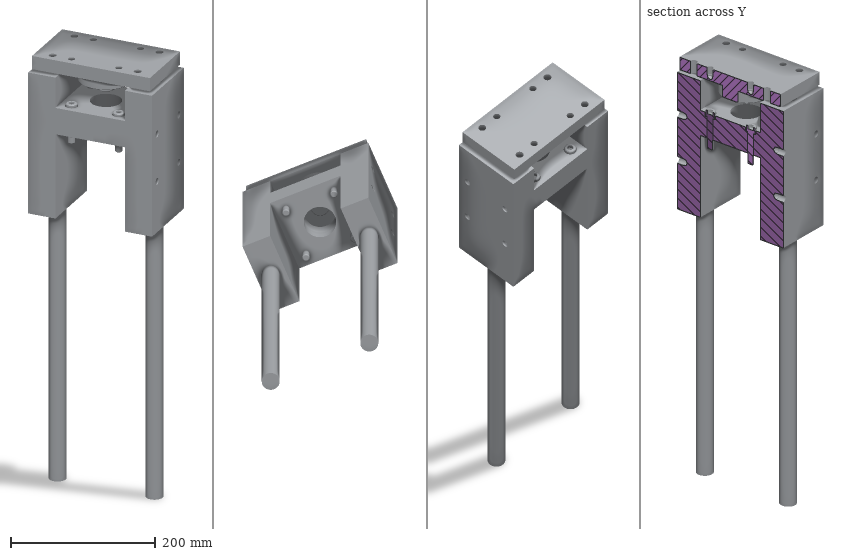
import cadquery as cq
import math


plate_length = 180.0
plate_width = 100.0
plate_thickness = 20.0
hub_diameter = 78.0
hub_height = 18.0
hub_chamfer = 1.0
spigot_top_diameter = 28.0
spigot_tip_diameter = 27.0
spigot_height = 14.0
spigot_chamfer = 1.0
rod_diameter = 25.0
rod_spacing = 148.0
rod_end_z = -658.0
clearance_hole_diameter = 11.0
clearance_hole_spacing = 130.0

housing_length = 189.0
housing_width = 105.0
leg_thickness = 41.5
leg_height = 214.0
housing_gap = 5.0
web_drop = 46.0
web_thickness = 40.0
web_bore_diameter = 45.0
side_hole_drop = 65.0

pattern_pitch = 72.0

thread_diameter = 10.0
thread_depth = 12.0
core_diameter = 8.38
core_depth = 15.0
drill_point_angle = 118.0

screw_diameter = 10.0
screw_length = 50.0
screw_head_diameter = 16.0
screw_head_height = 10.0
screw_chamfer = 1.0
socket_width = 8.0
socket_depth = 5.0
counterbore_diameter = 18.0
counterbore_depth = 6.0

plate_bottom_z = -plate_thickness
housing_top_z = plate_bottom_z - housing_gap
web_top_z = housing_top_z - web_drop
web_bottom_z = web_top_z - web_thickness
screw_seat_z = web_top_z - counterbore_depth
side_hole_center_z = housing_top_z - side_hole_drop - pattern_pitch / 2


def cylinder_down(diameter, top_z, height):
    return cq.Workplane("XY", origin=(0, 0, top_z)).circle(diameter / 2).extrude(-height)


def block_down(length, width, top_z, height):
    return cq.Workplane("XY", origin=(0, 0, top_z)).rect(length, width).extrude(-height)


def at_points(shape, points):
    copies = cq.Workplane("XY")
    for x, y in points:
        copies = copies.add(shape.translate((x, y, 0)))
    return copies


def cut_each(body, tools):
    for tool in tools.vals():
        body = body.cut(cq.Workplane(tool))
    return body


def grid(x_spacing, y_spacing):
    return [(i * x_spacing / 2, j * y_spacing / 2) for i in (-1, 1) for j in (-1, 1)]


square_pattern = grid(pattern_pitch, pattern_pitch)
rod_points = [(-rod_spacing / 2, 0), (rod_spacing / 2, 0)]


def threaded_hole():
    """Blind hole opening at Z = 0: thread diameter, narrower core, drill point."""
    core_radius = core_diameter / 2
    point_height = core_radius / math.tan(math.radians(drill_point_angle / 2))
    return (
        cq.Workplane("XZ")
        .moveTo(0, 0)
        .lineTo(thread_diameter / 2, 0)
        .lineTo(thread_diameter / 2, -thread_depth)
        .lineTo(core_radius, -thread_depth)
        .lineTo(core_radius, -core_depth)
        .lineTo(0, -core_depth - point_height)
        .close()
        .revolve(360, (0, 0, 0), (0, 1, 0))
    )


def coupling_hub():
    """Chamfered disc with a tapered, chamfered spigot on its underside."""
    hub = cylinder_down(hub_diameter, plate_bottom_z, hub_height).faces("<Z").chamfer(hub_chamfer)
    spigot = (
        cq.Workplane("XY", origin=(0, 0, plate_bottom_z - hub_height))
        .circle(spigot_top_diameter / 2)
        .workplane(offset=-spigot_height)
        .circle(spigot_tip_diameter / 2)
        .loft()
        .faces("<Z")
        .chamfer(spigot_chamfer)
    )
    return hub.union(spigot)


def make_carriage():
    carriage = block_down(plate_length, plate_width, 0, plate_thickness).union(coupling_hub())
    rod = cylinder_down(rod_diameter, plate_bottom_z, plate_bottom_z - rod_end_z)
    for x, y in rod_points:
        carriage = carriage.union(rod.translate((x, y, 0)))
    clearance_hole = cylinder_down(clearance_hole_diameter, 0, plate_thickness)
    carriage = cut_each(carriage, at_points(clearance_hole, grid(clearance_hole_spacing, pattern_pitch)))
    return cut_each(carriage, at_points(threaded_hole(), square_pattern))


def make_housing():
    housing = block_down(housing_length, housing_width, housing_top_z, leg_height)
    opening_length = housing_length - 2 * leg_thickness
    lower_opening_height = leg_height - web_drop - web_thickness
    housing = housing.cut(block_down(opening_length, housing_width, housing_top_z, web_drop))
    housing = housing.cut(block_down(opening_length, housing_width, web_bottom_z, lower_opening_height))
    housing = housing.cut(cylinder_down(web_bore_diameter, web_top_z, web_thickness))
    rod_bore = cylinder_down(rod_diameter, housing_top_z, leg_height)
    housing = cut_each(housing, at_points(rod_bore, rod_points))
    screw_hole = cylinder_down(counterbore_diameter, web_top_z, counterbore_depth).union(
        cylinder_down(screw_diameter, web_top_z, web_thickness)
    )
    housing = cut_each(housing, at_points(screw_hole, square_pattern))
    for side in (-1, 1):
        side_hole = threaded_hole().rotate((0, 0, 0), (0, 1, 0), side * 90)
        for y, z in square_pattern:
            place = (side * housing_length / 2, y, side_hole_center_z + z)
            housing = housing.cut(side_hole.translate(place))
    return housing


def make_screw():
    head = cylinder_down(screw_head_diameter, screw_seat_z + screw_head_height, screw_head_height)
    head = head.faces(">Z").chamfer(screw_chamfer)
    socket = (
        cq.Workplane("XY", origin=(0, 0, screw_seat_z + screw_head_height))
        .polygon(6, socket_width / math.cos(math.pi / 6))
        .extrude(-socket_depth)
    )
    shank = cylinder_down(screw_diameter, screw_seat_z, screw_length).faces("<Z").chamfer(screw_chamfer)
    return head.cut(socket).union(shank)


carriage = make_carriage()
housing = make_housing()
screws = [make_screw().translate((x, y, 0)).val() for x, y in square_pattern]

result = cq.Compound.makeCompound([carriage.val(), housing.val(), *screws])